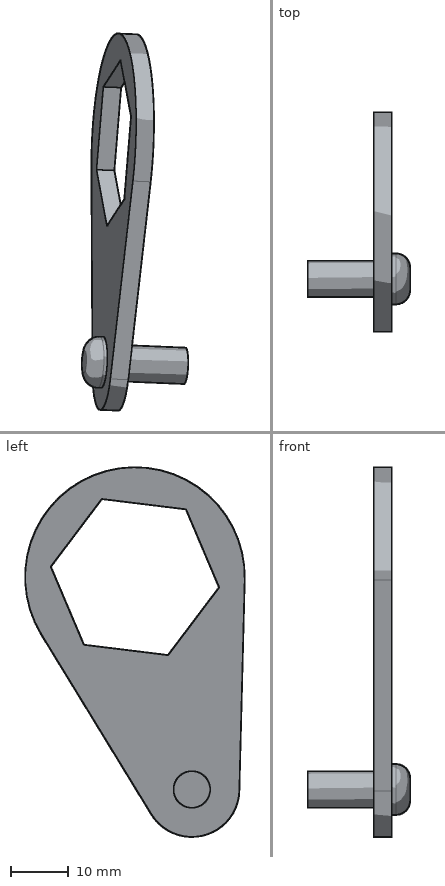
import cadquery as cq
import math

INCH = 25.4

plate_thickness = 0.125 * INCH
large_end_radius = 0.75 * INCH
small_end_radius = 0.325 * INCH
center_distance = 1.5 * INCH
arm_tilt = 15.0

hex_sides = 6
hex_across_flats = 1.0 * INCH
hex_turn = 7.0

pin_diameter = 0.25 * INCH
pin_length = 0.45 * INCH
head_diameter = 0.35 * INCH
head_height = 0.125 * INCH
head_rounding = 0.1 * INCH


def point_on_circle(center, radius, angle):
    """Point in the YZ plane, with the angle in degrees from +Y towards +Z."""
    turn = math.radians(angle)
    return (center[0] + radius * math.cos(turn), center[1] + radius * math.sin(turn))


arm_direction = -90.0 - arm_tilt
large_center = (0.0, 0.0)
small_center = point_on_circle(large_center, center_distance, arm_direction)


def make_plate():
    """Two round ends joined by their outer tangent lines."""
    radius_step = large_end_radius - small_end_radius
    tangent_turn = math.degrees(math.acos(radius_step / center_distance))
    first_tangent = arm_direction + tangent_turn
    second_tangent = arm_direction - tangent_turn
    return (
        cq.Workplane("YZ")
        .moveTo(*point_on_circle(large_center, large_end_radius, first_tangent))
        .threePointArc(
            point_on_circle(large_center, -large_end_radius, arm_direction),
            point_on_circle(large_center, large_end_radius, second_tangent),
        )
        .lineTo(*point_on_circle(small_center, small_end_radius, second_tangent))
        .threePointArc(
            point_on_circle(small_center, small_end_radius, arm_direction),
            point_on_circle(small_center, small_end_radius, first_tangent),
        )
        .close()
        .extrude(plate_thickness)
    )


def make_hex_opening():
    """Hexagonal prism through the full plate thickness."""
    across_corners = hex_across_flats / math.cos(math.pi / hex_sides)
    return (
        cq.Workplane("YZ")
        .polygon(hex_sides, across_corners)
        .extrude(plate_thickness)
        .rotate((0, 0, 0), (1, 0, 0), hex_turn)
    )


def make_pin():
    """Pin standing out on the -X side and reaching through the plate to its head."""
    return (
        cq.Workplane("YZ", origin=(-pin_length, *small_center))
        .circle(pin_diameter / 2)
        .extrude(pin_length + plate_thickness)
    )


def make_head():
    """Button head on the +X face of the plate, rounded at its outer rim."""
    return (
        cq.Workplane("YZ", origin=(plate_thickness, *small_center))
        .circle(head_diameter / 2)
        .extrude(head_height)
        .faces(">X")
        .edges()
        .fillet(head_rounding)
    )


result = make_plate().cut(make_hex_opening()).union(make_pin()).union(make_head())